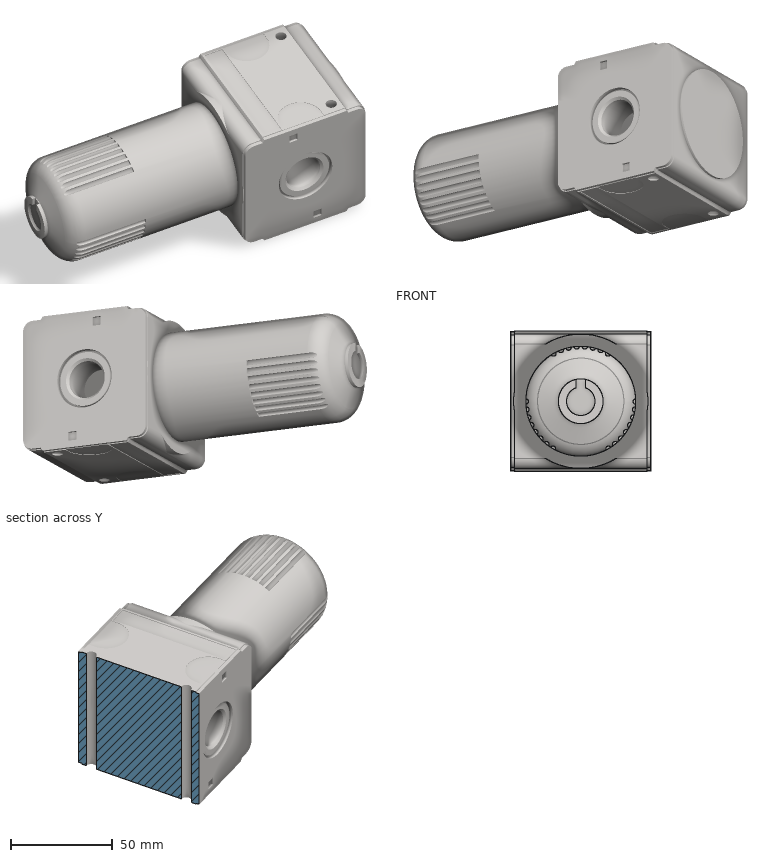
import cadquery as cq
import math


housing_width = 68.8
housing_height = 69.2
core_width = 65.0
core_half_length = 33.7
pad_height = 1.6
pad_half_length = 22.7
pad_slope_run = 1.0
corner_radius = 5.0
cheek_inset = 0.45
core_half_height = housing_height / 2 - pad_height

collar_radius = core_half_height
back_cap_diameter = 55.0
back_cap_height = 1.3

port_diameter = 18.63
port_depth = 20.0
port_chamfer = 1.2
seal_outer_diameter = 29.6
seal_inner_diameter = 27.3
seal_depth = 1.2
seal_groove_depth = 1.2

square_side = 4.4
square_depth = 1.2
square_y = 6.6
square_z = 28.5

mount_diameter = 5.5
mount_x = 27.0
mount_y = 18.0
thumb_diameter = 22.4
thumb_center_x = 29.0
thumb_depth = 0.2
label_width = 64.0
label_front_y = -21.6
label_back_y = -11.9
label_depth = 0.3

bowl_diameter = 54.0
bowl_end_y = -132.0
bowl_shoulder_y = -117.5
bowl_shoulder_radius = 9.25
drain_diameter = 22.0
drain_height = 1.8
drain_bore_diameter = 14.0
drain_bore_depth = 1.5
drain_slot_width = 4.6

flute_radius = 1.3
flute_start_y = -84.4
flute_group_angles = (90, 210, 330)
flutes_per_group = 8
flute_spacing_angle = 8.5


def block(width, inset):
    """Block with rounded long edges and a sloped pad above and below, inset in Y and Z."""
    half_length = core_half_length - inset
    half_height = core_half_height - inset
    pad_top = half_height + pad_height
    pad_foot = pad_half_length + pad_slope_run
    body = (
        cq.Workplane("YZ")
        .rect(2 * half_length, 2 * half_height)
        .extrude(width / 2, both=True)
        .edges("|X")
        .fillet(corner_radius)
    )
    pads = (
        cq.Workplane("YZ")
        .polyline([
            (-pad_foot, -half_height),
            (-pad_half_length, -pad_top),
            (pad_half_length, -pad_top),
            (pad_foot, -half_height),
            (pad_foot, half_height),
            (pad_half_length, pad_top),
            (-pad_half_length, pad_top),
            (-pad_foot, half_height),
        ])
        .close()
        .extrude(width / 2, both=True)
    )
    return body.union(pads)


def disc(diameter, start_y, end_y):
    """Round disc about the bowl axis between two Y positions."""
    return (
        cq.Workplane("XZ", origin=(0, start_y, 0))
        .circle(diameter / 2)
        .extrude(start_y - end_y)
    )


def port_cutter():
    """Port on the -X side: seal recess with a rim groove in its floor, chamfer and blind bore."""
    port_radius = port_diameter / 2
    seal_outer_radius = seal_outer_diameter / 2
    seal_inner_radius = seal_inner_diameter / 2
    face_x = -housing_width / 2
    floor_x = face_x + seal_depth
    groove_x = floor_x + seal_groove_depth
    bore_end_x = face_x + port_depth
    return (
        cq.Workplane("XY")
        .polyline([
            (face_x, 0),
            (face_x, seal_outer_radius),
            (groove_x, seal_outer_radius),
            (groove_x, seal_inner_radius),
            (floor_x, seal_inner_radius),
            (floor_x, port_radius + port_chamfer),
            (floor_x + port_chamfer, port_radius),
            (bore_end_x, port_radius),
            (bore_end_x, 0),
        ])
        .close()
        .revolve(360, (0, 0, 0), (1, 0, 0))
    )


def square_pockets():
    """Two square pockets on the -X side, diagonally opposite about the port."""
    return (
        cq.Workplane("YZ", origin=(-housing_width / 2, 0, 0))
        .pushPoints([(-square_y, square_z), (square_y, -square_z)])
        .rect(square_side, square_side)
        .extrude(square_depth)
    )


def pad_marks():
    """Shallow thumb marks and label recess in the upper pad."""
    pad_plane = cq.Workplane("XY", origin=(0, 0, housing_height / 2))
    mark_length = core_width / 2 - thumb_center_x
    thumbs = (
        pad_plane
        .pushPoints([(-thumb_center_x, 0), (thumb_center_x, 0)])
        .circle(thumb_diameter / 2)
        .extrude(-thumb_depth)
        .union(
            pad_plane
            .pushPoints([(side * (thumb_center_x + mark_length / 2), 0) for side in (-1, 1)])
            .rect(mark_length, thumb_diameter)
            .extrude(-thumb_depth)
        )
        .intersect(cq.Workplane("XY").box(core_width, thumb_diameter, 2 * housing_height))
    )
    label = (
        pad_plane
        .center(0, (label_front_y + label_back_y) / 2)
        .rect(label_width, label_back_y - label_front_y)
        .extrude(-label_depth)
    )
    return thumbs.union(label)


def make_housing():
    core = block(core_width, 0)
    cheeks = block(housing_width, cheek_inset)
    collar = disc(2 * collar_radius, 0, -core_half_length)
    back_cap = disc(back_cap_diameter, core_half_length + back_cap_height, 0)
    mount_holes = (
        cq.Workplane("XY")
        .pushPoints([(-mount_x, mount_y), (mount_x, mount_y)])
        .circle(mount_diameter / 2)
        .extrude(housing_height, both=True)
    )
    housing = core.union(cheeks).union(collar).union(back_cap).cut(mount_holes)
    side_cutters = port_cutter().union(square_pockets())
    housing = housing.cut(side_cutters).cut(side_cutters.mirror("YZ"))
    marks = pad_marks()
    return housing.cut(marks).cut(marks.mirror("XY"))


def bowl_blank():
    """Turned bowl: cylinder, rounded shoulder, conical end and drain boss."""
    bowl_radius = bowl_diameter / 2
    drain_radius = drain_diameter / 2
    drain_base_y = bowl_end_y + drain_height
    arc_center = (bowl_radius - bowl_shoulder_radius, bowl_shoulder_y)

    run = drain_radius - arc_center[0]
    drop = drain_base_y - arc_center[1]
    end_angle = math.atan2(drop, run) + math.acos(bowl_shoulder_radius / math.hypot(run, drop))

    def on_shoulder(angle):
        return (
            arc_center[0] + bowl_shoulder_radius * math.cos(angle),
            arc_center[1] + bowl_shoulder_radius * math.sin(angle),
        )

    return (
        cq.Workplane("XY")
        .moveTo(0, -core_half_length)
        .lineTo(bowl_radius, -core_half_length)
        .lineTo(bowl_radius, bowl_shoulder_y)
        .threePointArc(on_shoulder(end_angle / 2), on_shoulder(end_angle))
        .lineTo(drain_radius, drain_base_y)
        .lineTo(drain_radius, bowl_end_y)
        .lineTo(0, bowl_end_y)
        .close()
        .revolve(360, (0, 0, 0), (0, 1, 0))
    )


def flutes():
    """Straight round-bottomed grooves in three groups around the bowl."""
    middle = (flutes_per_group - 1) / 2
    angles = [
        group + (index - middle) * flute_spacing_angle
        for group in flute_group_angles
        for index in range(flutes_per_group)
    ]
    points = [
        (
            bowl_diameter / 2 * math.cos(math.radians(angle)),
            bowl_diameter / 2 * math.sin(math.radians(angle)),
        )
        for angle in angles
    ]
    return (
        cq.Workplane("XZ", origin=(0, flute_start_y, 0))
        .pushPoints(points)
        .circle(flute_radius)
        .extrude(flute_start_y - bowl_end_y)
    )


def make_bowl():
    drain_bore = disc(drain_bore_diameter, bowl_end_y + drain_bore_depth, bowl_end_y)
    drain_slot = (
        cq.Workplane("XZ", origin=(0, bowl_end_y, 0))
        .center(0, drain_diameter / 4)
        .rect(drain_slot_width, drain_diameter / 2)
        .extrude(-drain_bore_depth)
    )
    return bowl_blank().cut(flutes()).cut(drain_bore).cut(drain_slot)


housing = make_housing()
bowl = make_bowl()

result = cq.Compound.makeCompound([housing.val(), bowl.val()])